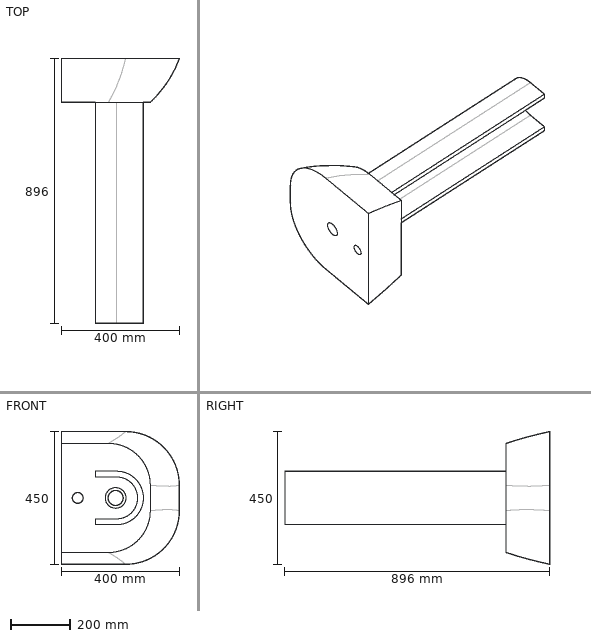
import cadquery as cq

total_length = 896.0
base_depth = 149.0
channel_length = total_length - base_depth

back_width, back_half_height, back_radius = 400.0, 225.0, 182.0
middle_width, middle_half_height, middle_radius = 363.0, 207.0, 168.0
front_width, front_half_height, front_radius = 301.0, 185.0, 142.0

boss_x = 184.0
boss_diameter = 70.0
boss_height = 30.0
bore_diameter = 50.0

small_hole_x = 56.0
small_hole_diameter = 36.0

channel_open_x = 116.0
channel_tip_x = 278.0
channel_outer_radius = 90.5
channel_wall = 20.0


def base_outline(y, width, half_height, radius):
    """D-shaped wire in the plane at y, with two rounded corners on its +X side."""
    section = cq.Workplane("XZ", origin=(0, y, 0)).moveTo(0, -half_height)
    straight_end = width - radius
    flat_half = half_height - radius
    return (
        section.lineTo(straight_end, -half_height)
        .radiusArc((width, -flat_half), -radius)
        .lineTo(width, flat_half)
        .radiusArc((straight_end, half_height), -radius)
        .lineTo(0, half_height)
        .close()
        .val()
    )


def round_bar(x, diameter, start_y, end_y):
    """Cylinder along Y between start_y and end_y."""
    return cq.Workplane("XZ", origin=(x, end_y, 0)).circle(diameter / 2).extrude(end_y - start_y)


def make_base():
    """Base with bulging tapered sides, a boss and two through holes."""
    outlines = [
        base_outline(base_depth, back_width, back_half_height, back_radius),
        base_outline(base_depth / 2, middle_width, middle_half_height, middle_radius),
        base_outline(0, front_width, front_half_height, front_radius),
    ]
    base = cq.Workplane(obj=cq.Solid.makeLoft(outlines))
    boss = round_bar(boss_x, boss_diameter, -boss_height, base_depth / 2)
    bore = round_bar(boss_x, bore_diameter, -boss_height, base_depth)
    small_hole = round_bar(small_hole_x, small_hole_diameter, 0, base_depth)
    return base.union(boss).cut(bore).cut(small_hole)


def make_channel():
    """U-shaped channel, open toward -X, standing on the front face of the base."""
    bend_x = channel_tip_x - channel_outer_radius
    inner_radius = channel_outer_radius - channel_wall
    return (
        cq.Workplane("XZ")
        .moveTo(channel_open_x, -channel_outer_radius)
        .lineTo(bend_x, -channel_outer_radius)
        .threePointArc((channel_tip_x, 0), (bend_x, channel_outer_radius))
        .lineTo(channel_open_x, channel_outer_radius)
        .lineTo(channel_open_x, inner_radius)
        .lineTo(bend_x, inner_radius)
        .threePointArc((bend_x + inner_radius, 0), (bend_x, -inner_radius))
        .lineTo(channel_open_x, -inner_radius)
        .close()
        .extrude(channel_length)
    )


base = make_base()
channel = make_channel()

result = cq.Compound.makeCompound([base.solids().val(), channel.val()])